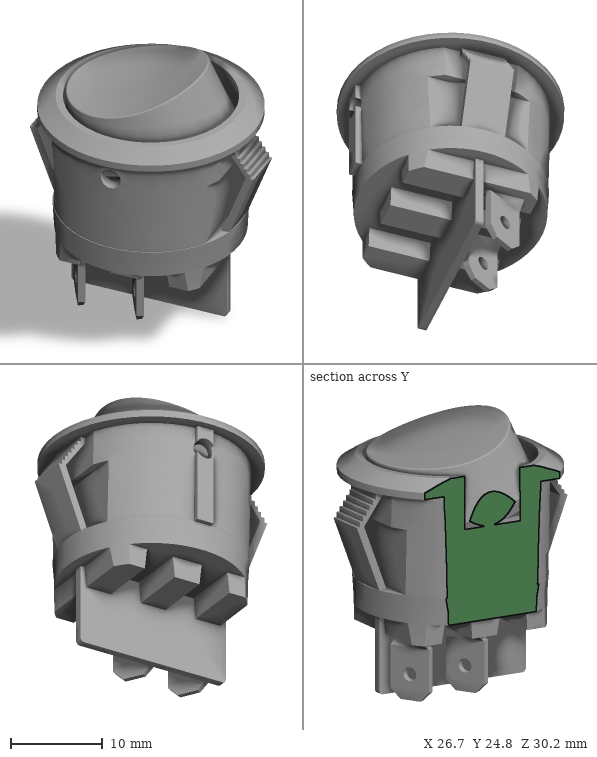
import cadquery as cq


bezel_radius = 12.4
bezel_top_radius = 10.4
bezel_rim_height = 0.8
bezel_height = 2.0
opening_diameter = 19.2

body_top_radius = 10.88
body_bottom_radius = 10.65
collar_top_radius = 10.73
collar_bottom_radius = 10.55
collar_top_z = -11.5
collar_bottom_z = -14.63

guide_flat_x = 9.98
recess_flat_x = 9.05
guide_bottom_z = -4.02

key_width = 2.05
key_y = 11.37

clip_width = 5.02
clip_steps = 7
clip_top_x = 10.52
clip_span = 26.7
clip_tip_x = clip_span / 2
clip_foot_outer_x = 10.5
clip_foot_inner_x = 9.58
clip_elbow_inner_x = 12.42
clip_arm_inner_x = 9.52

pivot_z = -2.5
rocker_tilt = 13.8
rocker_max_radius = 9.43
rocker_bottom_radius = 8.95
rocker_skirt_depth = 1.5
rocker_rim_radius = 7.95
rocker_rim_height = 7.0
rocker_dish_depth = 0.9
rocker_edge_fillet = 0.18
rocker_flat_y = 8.95
pin_diameter = 1.9
pin_end_y = 10.28
pivot_hole_diameter = 2.4

support_spacing = 6.98
support_width = 3.7
support_front_y = -7.53
support_back_y = 7.53
support_bottom_z = -17.08
support_draft = 0.27

plate_width = 18.55
plate_thickness = 0.95
plate_bottom_z = -23.95
plate_fillet = 0.45

blade_y = -3.48
blade_width = 4.8
blade_thickness = 0.8
blade_twist = 30.0
blade_twist_end_z = -18.05
blade_taper_z = -22.95
blade_bottom_z = -24.1
blade_tip_width = 2.48
blade_tip_thickness = 0.6
blade_hole_diameter = 1.6
blade_hole_z = -21.13


def centred_box(x_size, y_size, bottom_z, top_z):
    box = cq.Workplane("XY").box(x_size, y_size, top_z - bottom_z, centered=(True, True, False))
    return box.translate((0, 0, bottom_z))


def make_housing():
    """Bezel, tapered body and collar turned as one, with the key rib and the rocker well."""
    housing = (
        cq.Workplane("XZ")
        .polyline([
            (0, bezel_height),
            (bezel_top_radius, bezel_height),
            (bezel_radius, bezel_rim_height),
            (bezel_radius, 0),
            (body_top_radius, 0),
            (body_bottom_radius, collar_top_z),
            (collar_top_radius, collar_top_z),
            (collar_bottom_radius, collar_bottom_z),
            (0, collar_bottom_z),
        ])
        .close()
        .revolve(360, (0, 0), (0, 1))
    )
    key = centred_box(key_width, key_y, collar_top_z, 0).translate((0, key_y / 2, 0))
    well = (
        cq.Workplane("XY", origin=(0, 0, guide_bottom_z))
        .circle(opening_diameter / 2)
        .extrude(bezel_height - guide_bottom_z)
    )
    pivot_hole = (
        cq.Workplane("XZ", origin=(0, 0, pivot_z))
        .circle(pivot_hole_diameter / 2)
        .extrude(bezel_radius, both=True)
    )
    return housing.union(key).cut(well).cut(pivot_hole)


def make_rocker():
    """Conical rocker with a dished top, two side flats and ramped pivot pins."""
    cone_slope = (rocker_max_radius - rocker_rim_radius) / rocker_rim_height
    blank_height = rocker_rim_height + rocker_dish_depth
    blank_top_radius = rocker_max_radius - cone_slope * blank_height
    rocker = (
        cq.Workplane("XZ")
        .polyline([
            (0, -rocker_skirt_depth),
            (rocker_bottom_radius, -rocker_skirt_depth),
            (rocker_max_radius, 0),
            (blank_top_radius, blank_height),
            (0, blank_height),
        ])
        .close()
        .revolve(360, (0, 0), (0, 1))
    )
    dish_radius = (rocker_rim_radius**2 + rocker_dish_depth**2) / (2 * rocker_dish_depth)
    dish_axis_height = rocker_rim_height - rocker_dish_depth + dish_radius
    dish = (
        cq.Workplane("XZ", origin=(0, 0, dish_axis_height))
        .circle(dish_radius)
        .extrude(bezel_radius, both=True)
    )
    rocker = rocker.cut(dish).edges(">Z").fillet(rocker_edge_fillet)
    rocker = rocker.intersect(
        centred_box(2 * bezel_radius, 2 * rocker_flat_y, -rocker_skirt_depth, blank_height)
    )

    pins = cq.Workplane("XZ").circle(pin_diameter / 2).extrude(pin_end_y, both=True)
    pin_radius = pin_diameter / 2
    pin_envelope = (
        cq.Workplane("YZ")
        .polyline([
            (-pin_end_y, pin_radius),
            (pin_end_y, pin_radius),
            (pin_end_y, 0),
            (pin_end_y - pin_radius, -pin_radius),
            (pin_radius - pin_end_y, -pin_radius),
            (-pin_end_y, 0),
        ])
        .close()
        .extrude(pin_radius, both=True)
    )
    rocker = rocker.union(pins.intersect(pin_envelope))
    return rocker.rotate((0, 0, 0), (0, 1, 0), -rocker_tilt).translate((0, 0, pivot_z))


def make_side_cut():
    """Material removed on the right: a shallow guide flat above a deeper recess."""
    return (
        cq.Workplane("XZ")
        .polyline([
            (guide_flat_x, 0),
            (guide_flat_x, guide_bottom_z),
            (recess_flat_x, guide_bottom_z),
            (recess_flat_x, collar_top_z),
            (bezel_radius, collar_top_z),
            (bezel_radius, 0),
        ])
        .close()
        .extrude(bezel_radius, both=True)
    )


def make_clip():
    """Right spring clip: stepped arm out to the elbow, plain arm back to the collar."""
    step_x = (clip_tip_x - clip_top_x) / clip_steps
    step_z = guide_bottom_z / clip_steps
    outline = [(clip_arm_inner_x, 0)]
    for step in range(clip_steps):
        x = clip_top_x + step * step_x
        outline.append((x, step * step_z))
        outline.append((x, (step + 1) * step_z))
    outline += [
        (clip_tip_x, guide_bottom_z),
        (clip_foot_outer_x, collar_top_z),
        (clip_foot_inner_x, collar_top_z),
        (clip_elbow_inner_x, guide_bottom_z),
    ]
    return cq.Workplane("XZ").polyline(outline).close().extrude(clip_width / 2, both=True)


def make_supports():
    """Three parallel bars with drafted sides and front, trimmed to the collar radius."""
    bar_side = (
        cq.Workplane("YZ")
        .polyline([
            (support_front_y, collar_bottom_z),
            (support_back_y, collar_bottom_z),
            (support_back_y, support_bottom_z),
            (support_front_y + support_draft, support_bottom_z),
        ])
        .close()
        .extrude(support_width, both=True)
    )
    half_width = support_width / 2
    bar_end = (
        cq.Workplane("XZ")
        .polyline([
            (-half_width, collar_bottom_z),
            (half_width, collar_bottom_z),
            (half_width - support_draft, support_bottom_z),
            (support_draft - half_width, support_bottom_z),
        ])
        .close()
        .extrude(bezel_radius, both=True)
    )
    bar = bar_side.intersect(bar_end)
    bars = bar
    for x in (-support_spacing, support_spacing):
        bars = bars.union(bar.translate((x, 0, 0)))
    collar_cylinder = (
        cq.Workplane("XY", origin=(0, 0, support_bottom_z))
        .circle(collar_bottom_radius)
        .extrude(collar_bottom_z - support_bottom_z)
    )
    return bars.intersect(collar_cylinder)


def make_plate():
    plate = centred_box(plate_width, plate_thickness, plate_bottom_z, collar_bottom_z)
    return plate.edges("|Y and <Z").fillet(plate_fillet)


def make_blade():
    """Blade that leaves its support along Y, twists and ends in a tapered tip with a hole."""
    twist = (
        cq.Workplane("XY", origin=(0, 0, support_bottom_z))
        .rect(blade_thickness, blade_width)
        .workplane(offset=blade_twist_end_z - support_bottom_z)
        .transformed(rotate=(0, 0, blade_twist))
        .rect(blade_thickness, blade_width)
        .loft(ruled=True)
    )
    tab = centred_box(blade_thickness, blade_width, blade_taper_z, blade_twist_end_z)
    tip = (
        cq.Workplane("XY", origin=(0, 0, blade_taper_z))
        .rect(blade_thickness, blade_width)
        .workplane(offset=blade_bottom_z - blade_taper_z)
        .rect(blade_tip_thickness, blade_tip_width)
        .loft(ruled=True)
    )
    hole = (
        cq.Workplane("YZ", origin=(0, 0, blade_hole_z))
        .circle(blade_hole_diameter / 2)
        .extrude(blade_thickness, both=True)
    )
    tab = tab.union(tip).cut(hole).rotate((0, 0, 0), (0, 0, 1), blade_twist)
    return twist.union(tab).translate((0, blade_y, 0))


side_cut = make_side_cut()
clip = make_clip()
blade = make_blade()

result = make_housing().union(make_rocker())
result = result.cut(side_cut).cut(side_cut.mirror("YZ"))
result = result.union(clip).union(clip.mirror("YZ"))
result = result.union(make_supports()).union(make_plate())
for blade_x in (-support_spacing, 0):
    result = result.union(blade.translate((blade_x, 0, 0)))